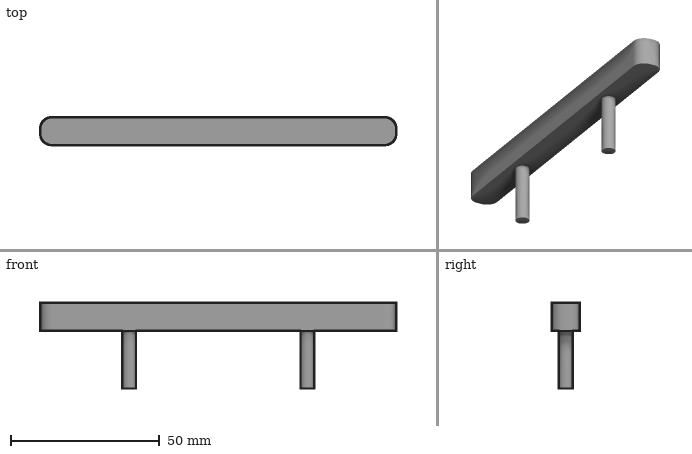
import cadquery as cq

bar_length = 120.0
bar_side = 9.5
end_corner_radius = 4.0

total_height = 29.0
post_diameter = bar_side / 2
post_spacing = bar_length / 2
post_length = total_height - bar_side


def make_bar():
    """Square bar standing on Z = 0, with its four vertical edges rounded."""
    bar = cq.Workplane("XY").box(bar_length, bar_side, bar_side, centered=(True, True, False))
    return bar.edges("|Z").fillet(end_corner_radius)


def add_posts(bar):
    """Two round posts hanging from the underside of the bar."""
    post_centers = [(-post_spacing / 2, 0), (post_spacing / 2, 0)]
    posts = cq.Workplane("XY").pushPoints(post_centers).circle(post_diameter / 2).extrude(-post_length)
    return bar.union(posts)


result = add_posts(make_bar())